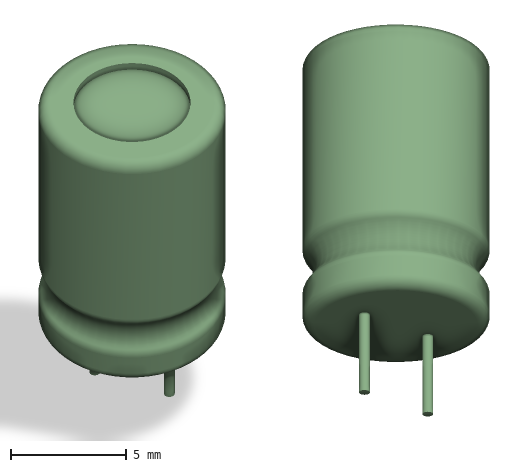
import cadquery as cq
import math

total_height = 16.43
lead_length = 3.73
can_height = total_height - lead_length
can_radius = 8.13 / 2

edge_radius = 0.5

groove_height = 2.55
groove_depth = 0.45
groove_radius = 1.12

recess_diameter = 5.08
recess_depth = 0.38

lead_diameter = 0.48
lead_spacing = 3.52
lead_embed = 0.16


def make_can():
    """Revolve the can section with rounded rims and a crimped groove."""
    rim_radius = can_radius - edge_radius
    rim_arc_drop = edge_radius * (1 - math.sqrt(0.5))

    centre_distance = groove_radius + edge_radius
    centre_radial_gap = centre_distance - groove_depth
    shoulder_offset = math.sqrt(centre_distance**2 - centre_radial_gap**2)
    tangent_radius = rim_radius + edge_radius * centre_radial_gap / centre_distance
    tangent_offset = shoulder_offset * groove_radius / centre_distance

    lower_shoulder = groove_height - shoulder_offset
    upper_shoulder = groove_height + shoulder_offset

    section = (
        cq.Workplane("XZ")
        .lineTo(rim_radius, 0)
        .threePointArc((can_radius - rim_arc_drop, rim_arc_drop), (can_radius, edge_radius))
        .lineTo(can_radius, lower_shoulder)
        .tangentArcPoint((tangent_radius, groove_height - tangent_offset), relative=False)
        .threePointArc(
            (can_radius - groove_depth, groove_height),
            (tangent_radius, groove_height + tangent_offset),
        )
        .tangentArcPoint((can_radius, upper_shoulder), relative=False)
        .lineTo(can_radius, can_height - edge_radius)
        .threePointArc(
            (can_radius - rim_arc_drop, can_height - rim_arc_drop),
            (rim_radius, can_height),
        )
        .lineTo(0, can_height)
        .close()
    )
    return section.revolve(360, (0, 0, 0), (0, 1, 0))


def make_recess():
    """Shallow round recess in the top of the can."""
    floor = cq.Workplane("XY").workplane(offset=can_height - recess_depth)
    return floor.circle(recess_diameter / 2).extrude(recess_depth)


def make_leads():
    """Two straight leads side by side along X, hanging below the base."""
    return (
        cq.Workplane("XY")
        .workplane(offset=-lead_length)
        .pushPoints([(-lead_spacing / 2, 0), (lead_spacing / 2, 0)])
        .circle(lead_diameter / 2)
        .extrude(lead_length + lead_embed)
    )


result = make_can().cut(make_recess()).union(make_leads())